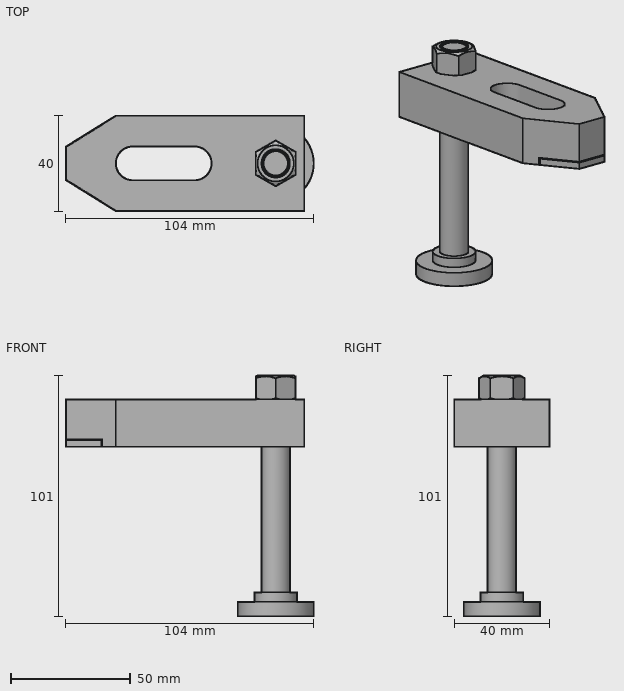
import cadquery as cq
import math

bar_length = 100.0
bar_width = 40.0
bar_thickness = 20.0
nose_width = 14.0
nose_length = 21.0

slot_length = 40.0
slot_width = 14.0

grip_length = 15.2
grip_height = 3.1
groove_width = 0.3
groove_depth = 0.3

foot_diameter = 32.0
foot_height = 6.0
collar_diameter = 18.0
collar_height = 4.0
shank_diameter = 12.1
shank_gap = 61.0
thread_diameter = 11.0
stud_end_diameter = 10.2

nut_flats = 16.6
nut_height = 10.0
nut_top_flat_diameter = 15.2
nut_bottom_flat_diameter = 17.5
nut_chamfer_angle = 30
countersink_diameter = 12.0

overall_length = 104.0
stud_x = overall_length - foot_diameter / 2
collar_bottom = foot_height
collar_top = collar_bottom + collar_height
bar_bottom = collar_top + shank_gap
bar_top = bar_bottom + bar_thickness
nut_top = bar_top + nut_height
slot_x = nose_length + slot_length / 2


def stud_axis_plane(z):
    """Horizontal workplane centred on the stud axis."""
    return cq.Workplane("XY", origin=(stud_x, 0, z))


def stud_cylinder(diameter, bottom, top):
    return stud_axis_plane(bottom).circle(diameter / 2).extrude(top - bottom)


def bar_outline():
    return (
        cq.Workplane("XY", origin=(0, 0, bar_bottom))
        .moveTo(0, -nose_width / 2)
        .lineTo(nose_length, -bar_width / 2)
        .lineTo(bar_length, -bar_width / 2)
        .lineTo(bar_length, bar_width / 2)
        .lineTo(nose_length, bar_width / 2)
        .lineTo(0, nose_width / 2)
        .close()
    )


def bar_blank():
    return bar_outline().extrude(bar_thickness)


def grip_block(length, height):
    """Full-width block at the lower corner of the nose."""
    return cq.Workplane("XY", origin=(0, 0, bar_bottom)).box(
        length, bar_width, height, centered=(False, True, False)
    )


def grip_groove():
    """L-shaped band kept only near the outer faces of the nose."""
    band = grip_block(grip_length, grip_height).cut(
        grip_block(grip_length - groove_width, grip_height - groove_width)
    )
    core = bar_outline().offset2D(-groove_depth, "intersection").extrude(bar_thickness)
    return band.cut(core)


def make_clamp_bar():
    slot = (
        cq.Workplane("XY", origin=(slot_x, 0, bar_bottom))
        .slot2D(slot_length, slot_width)
        .extrude(bar_thickness)
    )
    stud_hole = stud_cylinder(shank_diameter, bar_bottom, bar_top)
    return bar_blank().cut(slot).cut(stud_hole).cut(grip_groove())


def make_stud():
    foot = stud_cylinder(foot_diameter, 0, foot_height)
    collar = stud_cylinder(collar_diameter, collar_bottom, collar_top)
    shank = stud_cylinder(shank_diameter, collar_top, bar_top)
    end_chamfer = (thread_diameter - stud_end_diameter) / 2
    thread = stud_cylinder(thread_diameter, bar_top, nut_top).faces(">Z").chamfer(end_chamfer)
    return foot.union(collar).union(shank).union(thread)


def make_nut():
    corner_radius = nut_flats / math.sqrt(3)
    slope = math.tan(math.radians(nut_chamfer_angle))
    top_radius = nut_top_flat_diameter / 2
    bottom_radius = nut_bottom_flat_diameter / 2
    top_drop = (corner_radius - top_radius) * slope
    bottom_rise = (corner_radius - bottom_radius) * slope

    hexagon = (
        stud_axis_plane(bar_top)
        .transformed(rotate=(0, 0, 90))
        .polygon(6, 2 * corner_radius)
        .extrude(nut_height)
    )
    envelope = (
        cq.Workplane("XZ", origin=(stud_x, 0, bar_top))
        .lineTo(bottom_radius, 0)
        .lineTo(corner_radius, bottom_rise)
        .lineTo(corner_radius, nut_height - top_drop)
        .lineTo(top_radius, nut_height)
        .lineTo(0, nut_height)
        .close()
        .revolve(360, (0, 0, 0), (0, 1, 0))
    )
    bore = stud_cylinder(thread_diameter, bar_top, nut_top)
    countersink = (countersink_diameter - thread_diameter) / 2
    return (
        hexagon.intersect(envelope).cut(bore)
        .faces(">Z").edges(cq.selectors.RadiusNthSelector(0)).chamfer(countersink)
    )


clamp_bar = make_clamp_bar()
stud = make_stud()
nut = make_nut()

result = cq.Compound.makeCompound(
    [clamp_bar.solids().val(), stud.solids().val(), nut.solids().val()]
)